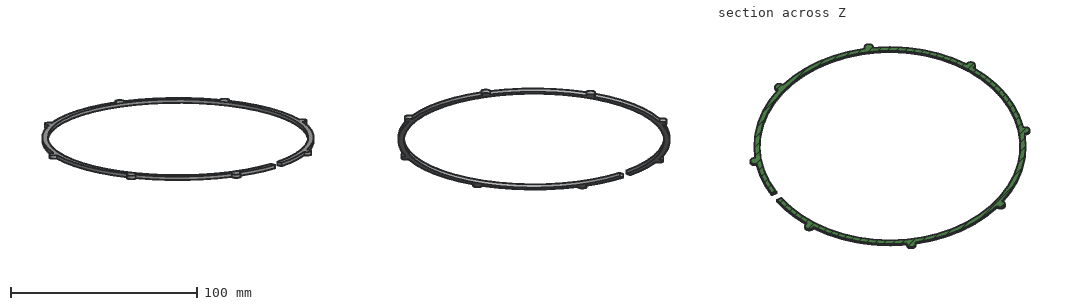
import cadquery as cq
import math

overall_diameter = 152.0
thickness = 2.0
ring_outer_radius = 73.0
ring_width = 3.0
tab_radius = 2.5
tab_count = 8
gap_angle = 4.0

ring_inner_radius = ring_outer_radius - ring_width
tab_center_radius = overall_diameter / 2 - tab_radius
tab_spacing = 360.0 / tab_count
gap_direction = -tab_spacing / 2


def polar_point(radius, angle):
    """Point in the XY plane at a radius and an angle in degrees."""
    radians = math.radians(angle)
    return (radius * math.cos(radians), radius * math.sin(radians))


def make_ring():
    """Flat, thin ring resting on the XY plane."""
    return (
        cq.Workplane("XY")
        .circle(ring_outer_radius)
        .circle(ring_inner_radius)
        .extrude(thickness)
    )


def make_tabs():
    """Round tabs spaced evenly around the rim, the first on +X."""
    return (
        cq.Workplane("XY")
        .polarArray(tab_center_radius, 0, 360, tab_count)
        .circle(tab_radius)
        .extrude(thickness)
    )


def make_gap_cutter():
    """Wedge from the ring center that splits the ring with radial faces."""
    return (
        cq.Workplane("XY")
        .moveTo(0, 0)
        .lineTo(*polar_point(overall_diameter, gap_direction - gap_angle / 2))
        .lineTo(*polar_point(overall_diameter, gap_direction + gap_angle / 2))
        .close()
        .extrude(thickness)
    )


result = make_ring().union(make_tabs()).cut(make_gap_cutter())